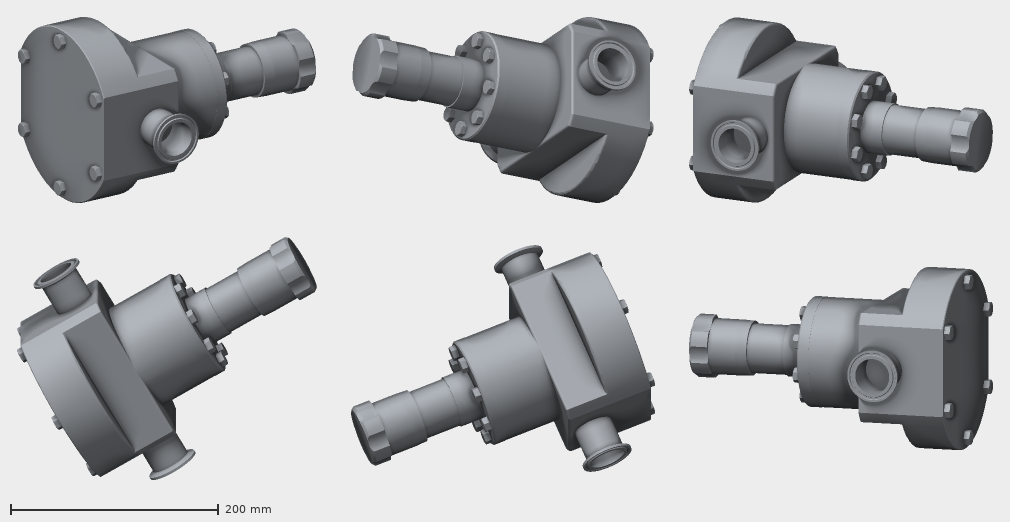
import cadquery as cq
import math


body_radius = 87.5
body_half_width = 76.3
disc_length = 44.2
block_half_height = 53.5
block_rear = 86.0
rear_fillet = 2.5
cover_chamfer = 0.8

housing_radius = 53.3
flange_radius = block_half_height
flange_front = 142.5
flange_rear = 154.5
flange_chamfer = 1.5

collar_radius = 25.5
collar_rear = 177.0
tube_radius = 24.0
sleeve_radius = 27.0
sleeve_front_radius = 26.5
sleeve_front = 213.3
taper_rear = 224.5
knob_radius = 30.7
knob_front = 251.8
knob_rear = 270.5
knob_chamfer = 2.5
grip_count = 6
grip_first_angle = 8.0
grip_half_angle = 15.7
grip_bottom_radius = 27.4

port_y = 60.5
port_span = 224.0
port_reach = port_span / 2
port_radius = 19.0
bore_radius = 17.0
ferrule_radius = 25.1
ferrule_rim = 2.5
ferrule_length = 5.0
seal_groove_radius = 21.8
seal_groove_width = 2.8
seal_floor_width = 1.7
seal_groove_depth = 1.5

head_sides = 6
head_flats = 13.0
head_chamfer_angle = 30.0
front_head_height = 5.8
front_bolt_count = 6
front_bolt_circle = 76.3
front_bolt_first_angle = 30.0
rear_head_height = 6.0
rear_head_twist = 7.5
rear_bolt_count = 8
rear_bolt_circle = 43.0
rear_bolt_first_angle = 22.5


def disc(radius, start, end):
    """Cylinder on the main axis between two Y positions."""
    return cq.Workplane("XZ", origin=(0, start, 0)).circle(radius).extrude(start - end)


def block(half_width, half_height, start, end):
    """Box centred on the main axis between two Y positions."""
    middle = (start + end) / 2
    return cq.Workplane("XY", origin=(0, middle, 0)).box(2 * half_width, end - start, 2 * half_height)


def body():
    front_disc = disc(body_radius, 0, disc_length)
    front_disc = front_disc.faces("<Y").chamfer(cover_chamfer).faces(">Y").fillet(rear_fillet)
    rear_block = disc(body_radius, disc_length / 2, block_rear).intersect(
        block(body_half_width, block_half_height, 0, block_rear)
    )
    rear_block = rear_block.faces(">Y").fillet(rear_fillet)
    flat_sides = block(body_half_width, body_radius, 0, block_rear)
    return front_disc.intersect(flat_sides).union(rear_block)


def housing():
    flange = disc(flange_radius, flange_front, flange_rear).faces(">Y").chamfer(flange_chamfer)
    return disc(housing_radius, disc_length, flange_front).union(flange)


def stem():
    return (
        cq.Workplane("XY")
        .moveTo(0, flange_front)
        .lineTo(collar_radius, flange_front)
        .lineTo(collar_radius, collar_rear)
        .lineTo(tube_radius, collar_rear)
        .lineTo(tube_radius, sleeve_front)
        .lineTo(sleeve_front_radius, sleeve_front)
        .lineTo(sleeve_radius, taper_rear)
        .lineTo(sleeve_radius, knob_front)
        .lineTo(0, knob_front)
        .close()
        .revolve(360, (0, 0, 0), (0, 1, 0))
    )


def knob():
    """Knob with hollow finger grips spaced around its rim."""
    grip = disc(knob_radius, knob_front, knob_rear).faces(">Y").chamfer(knob_chamfer)
    half_chord = knob_radius * math.sin(math.radians(grip_half_angle))
    sagitta = knob_radius * math.cos(math.radians(grip_half_angle)) - grip_bottom_radius
    hollow_radius = (half_chord**2 + sagitta**2) / (2 * sagitta)
    hollows = (
        cq.Workplane("XZ", origin=(0, knob_front, 0))
        .polarArray(grip_bottom_radius + hollow_radius, grip_first_angle, 360, grip_count)
        .circle(hollow_radius)
        .extrude(knob_front - knob_rear)
    )
    return grip.cut(hollows)


def port(side):
    """Tube and clamp ferrule on one side of the body; side is -1 or 1."""
    rim_back = port_reach - ferrule_rim
    ferrule_back = port_reach - ferrule_length
    groove_floor = port_reach - seal_groove_depth
    section = [
        (body_half_width, bore_radius),
        (port_reach, bore_radius),
        (port_reach, seal_groove_radius - seal_groove_width / 2),
        (groove_floor, seal_groove_radius - seal_floor_width / 2),
        (groove_floor, seal_groove_radius + seal_floor_width / 2),
        (port_reach, seal_groove_radius + seal_groove_width / 2),
        (port_reach, ferrule_radius),
        (rim_back, ferrule_radius),
        (ferrule_back, port_radius),
        (body_half_width, port_radius),
    ]
    points = [(side * distance, radius) for distance, radius in section]
    return (
        cq.Workplane("XZ", origin=(0, port_y, 0))
        .polyline(points)
        .close()
        .revolve(360, (0, 0, 0), (1, 0, 0))
    )


def bolt_head(circle_radius, angle, twist, seat, tip):
    """Hex head on a bolt circle, with its corners bevelled at the tip.

    twist is the direction of one corner; seat and tip are Y positions.
    """
    flat_radius = head_flats / 2
    corner_radius = flat_radius / math.cos(math.radians(180 / head_sides))
    height = abs(tip - seat)
    bevel = (corner_radius - flat_radius) * math.tan(math.radians(head_chamfer_angle))
    head = cq.Workplane("XY").polygon(head_sides, 2 * corner_radius).extrude(height)
    envelope = (
        cq.Workplane("XZ")
        .polyline(
            [
                (0, 0),
                (corner_radius, 0),
                (corner_radius, height - bevel),
                (flat_radius, height),
                (0, height),
            ]
        )
        .close()
        .revolve(360, (0, 0, 0), (0, 1, 0))
    )
    head = head.intersect(envelope)
    tilt = 90 if tip < seat else -90
    head = head.rotate((0, 0, 0), (1, 0, 0), tilt).rotate((0, 0, 0), (0, -1, 0), twist)
    x = circle_radius * math.cos(math.radians(angle))
    z = circle_radius * math.sin(math.radians(angle))
    return head.translate((x, seat, z))


result = body().union(housing()).union(stem()).union(knob())

for side in (-1, 1):
    result = result.union(port(side))

for index in range(front_bolt_count):
    angle = front_bolt_first_angle + index * 360 / front_bolt_count
    result = result.union(bolt_head(front_bolt_circle, angle, 0, 0, -front_head_height))

for index in range(rear_bolt_count):
    angle = rear_bolt_first_angle + index * 360 / rear_bolt_count
    twist = angle + rear_head_twist
    result = result.union(
        bolt_head(rear_bolt_circle, angle, twist, flange_rear, flange_rear + rear_head_height)
    )